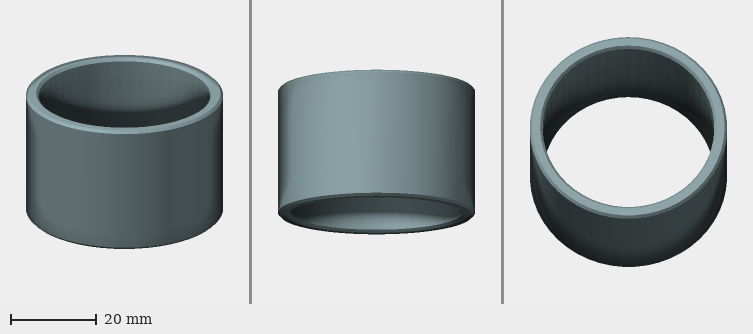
import cadquery as cq

outer_diameter = 46.0
bore_diameter = 40.0
height = 30.0
edge_chamfer = 0.6

sleeve = (
    cq.Workplane("XY")
    .circle(outer_diameter / 2)
    .circle(bore_diameter / 2)
    .extrude(height)
)

result = sleeve.faces("<Z or >Z").edges().chamfer(edge_chamfer)